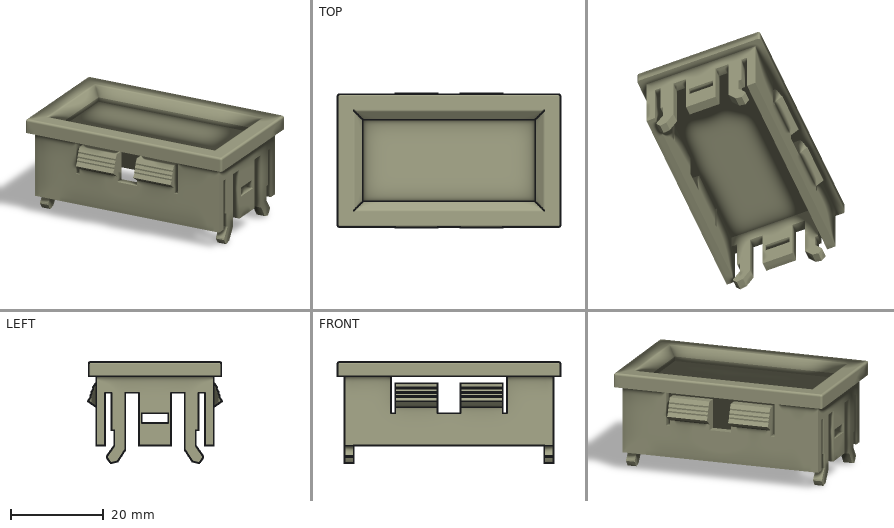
import cadquery as cq
import math

overall_height = 21.8
bezel_length, bezel_width, bezel_height = 48.0, 28.6, 3.1
bezel_radius = 0.5

recess_floor_length, recess_floor_width = 37.05, 17.55
recess_slope_run = 1.9
recess_slope_depth = 1.95
recess_depth = 3.0
recess_rim_radius = 0.6

skirt_length, skirt_width = 45.0, 25.35
skirt_bottom = -18.0
long_wall = 1.9
end_wall = 2.0

opening_length = 24.95
opening_bottom = -11.0
tab_length = 9.1
tab_spacing = 14.0
tab_top = -4.55
tab_reach = 14.45
tab_lip = 0.1
tip_z = -8.45
wedge_bottom = -9.7
tooth_tops = (-5.45, -6.45, -7.25)
tooth_height = 0.35
tooth_setback = 0.05

end_cut_top = -6.65
tongue_width = 6.9
tongue_window_width = 5.65
tongue_window_top, tongue_window_bottom = -11.05, -13.1
leg_inner, leg_outer, leg_lower_outer = 6.4, 9.4, 8.8
leg_step_z = -14.75
foot_bend_outer_z, foot_bend_inner_z = -18.0, -18.9

toe_corners = [
    (10.3, -20.2),
    (10.4, -20.55),
    (9.8, -21.45),
    (9.5, -overall_height),
    (8.05, -21.45),
]

half_skirt_length = skirt_length / 2
half_skirt_width = skirt_width / 2
cavity_length = skirt_length - 2 * end_wall
cavity_width = skirt_width - 2 * long_wall


def block(length, width, top, bottom):
    """Box centred on the Z axis between two heights."""
    return cq.Workplane("XY").workplane(offset=bottom).rect(length, width).extrude(top - bottom)


def recess_prism(plane, half_floor, half_span):
    """Recess cross-section with rounded rims, extruded both ways along the plane normal."""
    slope_angle = math.atan2(recess_slope_depth, recess_slope_run)
    tangent = recess_rim_radius * math.tan(slope_angle / 2)
    sharp_rim = half_floor + recess_slope_run
    arc_top = sharp_rim + tangent
    arc_middle = (
        arc_top - recess_rim_radius * math.sin(slope_angle / 2),
        recess_rim_radius * (math.cos(slope_angle / 2) - 1),
    )
    arc_end = (sharp_rim - tangent * math.cos(slope_angle), -tangent * math.sin(slope_angle))
    return (
        cq.Workplane(plane)
        .moveTo(0, 0)
        .lineTo(arc_top, 0)
        .threePointArc(arc_middle, arc_end)
        .lineTo(half_floor, -recess_slope_depth)
        .lineTo(half_floor, -recess_depth)
        .lineTo(0, -recess_depth)
        .close()
        .extrude(half_span, both=True)
    )


def make_recess():
    """Two crossed prisms share the recess, so its sides meet in mitred corners."""
    across = recess_prism("XZ", recess_floor_length / 2, bezel_width / 2)
    along = recess_prism("YZ", recess_floor_width / 2, bezel_length / 2)
    across = across.union(across.mirror("YZ"))
    along = along.union(along.mirror("XZ"))
    return across.intersect(along)


def make_bezel():
    bezel = block(bezel_length, bezel_width, 0, -bezel_height)
    bezel = bezel.edges("|Z or >Z").fillet(bezel_radius)
    return bezel.cut(make_recess())


def make_skirt():
    skirt = block(skirt_length, skirt_width, -bezel_height, skirt_bottom)
    skirt = skirt.cut(block(cavity_length, cavity_width, -bezel_height, skirt_bottom))
    skirt = skirt.cut(block(opening_length, skirt_width, -bezel_height, opening_bottom))

    return skirt.cut(block(skirt_length, cavity_width, end_cut_top, skirt_bottom))


def make_latch_tab(x_center):
    """Tab on the +Y wall with a toothed wedge on its outer face."""
    tab_face = half_skirt_width + tab_lip
    flank_height = tab_top - tip_z - len(tooth_tops) * tooth_height
    flank_rise = tab_reach - tab_face + len(tooth_tops) * tooth_setback
    flank_slope = flank_rise / flank_height

    outline = [
        (half_skirt_width - long_wall, opening_bottom),
        (half_skirt_width - long_wall, tab_top),
        (tab_face, tab_top),
    ]
    for tooth_top in tooth_tops:
        y, z = outline[-1]
        crest_y = y + flank_slope * (z - tooth_top)
        outline.append((crest_y, tooth_top))
        outline.append((crest_y - tooth_setback, tooth_top - tooth_height))
    outline += [
        (tab_reach, tip_z),
        (half_skirt_width, wedge_bottom),
        (half_skirt_width, opening_bottom),
    ]
    return (
        cq.Workplane("YZ", origin=(x_center - tab_length / 2, 0, 0))
        .polyline(outline)
        .close()
        .extrude(tab_length)
    )


def end_wall_plane():
    """YZ plane at the inner face of the +X end wall."""
    return cq.Workplane("YZ", origin=(half_skirt_length - end_wall, 0, 0))


def make_leg():
    """Hooked leg on the +X end, +Y side; the foot turns outward."""
    outline = [
        (leg_inner, end_cut_top),
        (leg_outer, end_cut_top),
        (leg_outer, leg_step_z),
        (leg_lower_outer, leg_step_z),
        (leg_lower_outer, foot_bend_outer_z),
        *toe_corners,
        (leg_inner, foot_bend_inner_z),
    ]
    return end_wall_plane().polyline(outline).close().extrude(end_wall)


def make_tongue():
    tongue_height = end_cut_top - skirt_bottom
    window_height = tongue_window_top - tongue_window_bottom
    tongue = (
        end_wall_plane()
        .center(0, (end_cut_top + skirt_bottom) / 2)
        .rect(tongue_width, tongue_height)
        .extrude(end_wall)
    )
    window = (
        end_wall_plane()
        .center(0, (tongue_window_top + tongue_window_bottom) / 2)
        .rect(tongue_window_width, window_height)
        .extrude(end_wall)
    )
    return tongue.cut(window)


result = make_bezel().union(make_skirt())

for x_center in (-tab_spacing / 2, tab_spacing / 2):
    tab = make_latch_tab(x_center)
    result = result.union(tab).union(tab.mirror("XZ"))

leg = make_leg()
end_parts = make_tongue().union(leg).union(leg.mirror("XZ"))
result = result.union(end_parts).union(end_parts.mirror("YZ"))